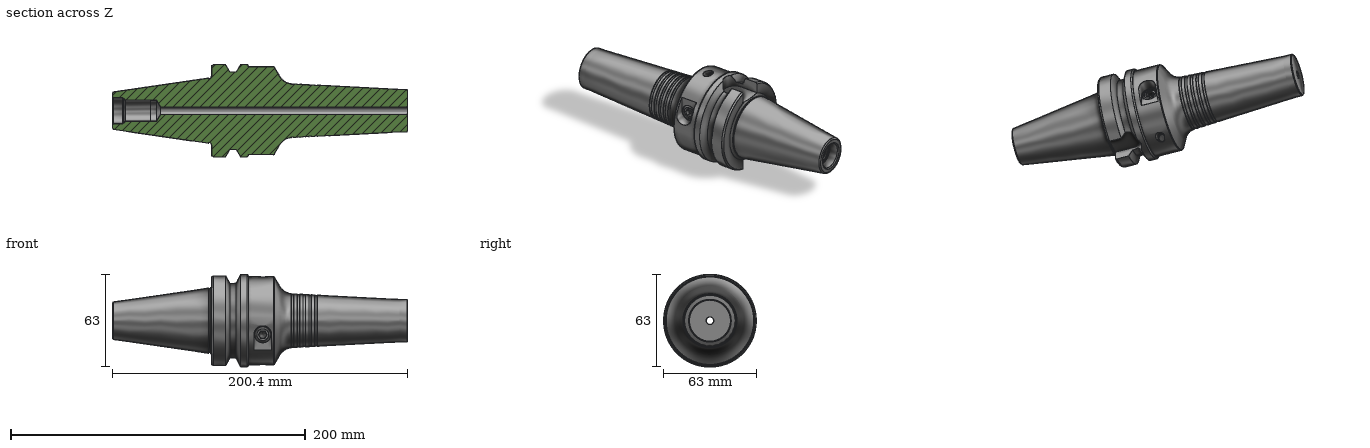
import cadquery as cq
import math


gauge_diameter = 44.45
shank_length = 65.4
taper_ratio = 7 / 24
shank_end_radius = (gauge_diameter - shank_length * taper_ratio) / 2
shank_chamfer = 0.8
undercut_radius = 43.5 / 2
undercut_end = 1.0
undercut_flare_radius = 23.7

flange_radius = 63 / 2
flange_face = 2.0
flange_face_chamfer_length = 1.2
flange_face_chamfer_height = 0.8
groove_start = 11.5
groove_floor_radius = 53 / 2
groove_half_angle = math.radians(30)
groove_floor_width = 4.3
groove_wall_run = (flange_radius - groove_floor_radius) * math.tan(groove_half_angle)
groove_floor_start = groove_start + groove_wall_run
groove_floor_end = groove_floor_start + groove_floor_width
groove_end = groove_floor_end + groove_wall_run
flange_end = 27.0

body_radius = 60 / 2
flange_rear_chamfer = 1.0
body_end = 44.5
body_edge_chamfer_length = 0.6
body_edge_chamfer_height = 0.3
shoulder_angle = math.radians(60)
shoulder_fillet = 10.0

nose_end = 135.0
nose_tip_radius = 29 / 2
nose_tip_length = 5.4
nose_tip_chamfer = 0.6
nose_angle = math.radians(3)
nose_cone_end = nose_end - nose_tip_length

clearance = 1.0

ring_count = 5
ring_first = 55.9
ring_pitch = 4.0
ring_width = 1.9
ring_depth = 0.25

slot_width = 16.1
slot_floor = 22.6
slot_end = 23.0

socket_mouth_diameter = 19.0
socket_pilot_diameter = 17.4
socket_pilot_depth = 7.0
countersink_diameter = 17.0
thread_diameter = 16.0
thread_relief_depth = 8.0
thread_core_diameter = 14.25
thread_core_depth = 26.0
drill_diameter = 14.0
drill_depth = 30.0
drill_tip_half_angle = math.radians(59)
through_diameter = 5.0

inclined_x = 36.8
inclined_height = 29.5
inclined_tilt = 45
inclined_diameter = 6.0
inclined_depth = 5.7
inclined_core_diameter = 5.0
inclined_core_depth = 7.2

pocket_x = 36.7
pocket_width = 12.0
pocket_floor = 22.6
pocket_offset = 9.5
screw_diameter = 11.0
screw_chamfer = 1.5
screw_socket_across_corners = 5.77
screw_socket_depth = 3.0
screw_socket_tip_diameter = 5.0


def nose_cone_radius(x):
    return nose_tip_radius + (nose_cone_end - x) * math.tan(nose_angle)


def revolve_about_axis(points):
    """Revolve a closed (x, radius) outline about the X axis."""
    return cq.Workplane("XY").polyline(points).close().revolve(360, (0, 0, 0), (1, 0, 0))


def both_sides(cutter):
    """Pair a cutter with its copy turned half way round the X axis."""
    return cutter.union(cutter.rotate((0, 0, 0), (1, 0, 0), 180))


def make_body():
    slope_difference = math.tan(shoulder_angle) - math.tan(nose_angle)
    shoulder_top = body_radius - body_edge_chamfer_height
    corner_x = body_end + (shoulder_top - nose_cone_radius(body_end)) / slope_difference
    corner_radius = nose_cone_radius(corner_x)
    turn = shoulder_angle - nose_angle
    tangent = shoulder_fillet * math.tan(turn / 2)
    arc_start = (
        corner_x - tangent * math.cos(shoulder_angle),
        corner_radius + tangent * math.sin(shoulder_angle),
    )
    arc_end = (corner_x + tangent * math.cos(nose_angle), corner_radius - tangent * math.sin(nose_angle))
    centre = (
        arc_end[0] + shoulder_fillet * math.sin(nose_angle),
        arc_end[1] + shoulder_fillet * math.cos(nose_angle),
    )
    mid_angle = (shoulder_angle + nose_angle) / 2
    arc_middle = (
        centre[0] - shoulder_fillet * math.sin(mid_angle),
        centre[1] - shoulder_fillet * math.cos(mid_angle),
    )
    outline = (
        cq.Workplane("XY")
        .moveTo(-shank_length, 0)
        .lineTo(-shank_length, shank_end_radius - shank_chamfer)
        .lineTo(-shank_length + shank_chamfer, shank_end_radius + shank_chamfer * taper_ratio / 2)
        .lineTo(0, gauge_diameter / 2)
        .lineTo(0, undercut_radius)
        .lineTo(undercut_end, undercut_radius)
        .lineTo(flange_face, undercut_flare_radius)
        .lineTo(flange_face, flange_radius - flange_face_chamfer_height)
        .lineTo(flange_face + flange_face_chamfer_length, flange_radius)
        .lineTo(groove_start, flange_radius)
        .lineTo(groove_floor_start, groove_floor_radius)
        .lineTo(groove_floor_end, groove_floor_radius)
        .lineTo(groove_end, flange_radius)
        .lineTo(flange_end - flange_rear_chamfer, flange_radius)
        .lineTo(flange_end, flange_radius - flange_rear_chamfer)
        .lineTo(flange_end, body_radius)
        .lineTo(body_end - body_edge_chamfer_length, body_radius)
        .lineTo(body_end, shoulder_top)
        .lineTo(*arc_start)
        .threePointArc(arc_middle, arc_end)
        .lineTo(nose_cone_end, nose_tip_radius)
        .lineTo(nose_end - nose_tip_chamfer, nose_tip_radius)
        .lineTo(nose_end, nose_tip_radius - nose_tip_chamfer)
        .lineTo(nose_end, 0)
        .close()
    )
    return outline.revolve(360, (0, 0, 0), (1, 0, 0))


def make_nose_ring(index):
    """Shallow ring groove with sloped walls."""
    start = ring_first + index * ring_pitch
    end = start + ring_width
    floor = nose_cone_radius((start + end) / 2) - ring_depth
    clear = nose_cone_radius(start) + clearance
    return revolve_about_axis(
        [
            (start, nose_cone_radius(start)),
            (start, clear),
            (end, clear),
            (end, nose_cone_radius(end)),
            (end - ring_depth, floor),
            (start + ring_depth, floor),
        ]
    )


def make_drive_slot():
    """Flat-floored slot on the +Z side, open at the flange face and round at its far end."""
    height = flange_radius - slot_floor + clearance
    arc_x = slot_end - slot_width / 2
    straight = cq.Workplane("XY", origin=(0, -slot_width / 2, slot_floor)).box(
        arc_x, slot_width, height, centered=False
    )
    round_end = cq.Workplane("XY", origin=(arc_x, 0, slot_floor)).circle(slot_width / 2).extrude(height)
    return straight.union(round_end)


def make_socket():
    def depth(value):
        return value - shank_length

    mouth_chamfer = (socket_mouth_diameter - socket_pilot_diameter) / 2
    countersink = (countersink_diameter - thread_diameter) / 2
    relief = (thread_diameter - thread_core_diameter) / 2
    tip = (drill_diameter - through_diameter) / 2 / math.tan(drill_tip_half_angle)
    return revolve_about_axis(
        [
            (depth(0), 0),
            (depth(0), socket_mouth_diameter / 2),
            (depth(mouth_chamfer), socket_pilot_diameter / 2),
            (depth(socket_pilot_depth), socket_pilot_diameter / 2),
            (depth(socket_pilot_depth), countersink_diameter / 2),
            (depth(socket_pilot_depth + countersink), thread_diameter / 2),
            (depth(thread_relief_depth), thread_diameter / 2),
            (depth(thread_relief_depth + relief), thread_core_diameter / 2),
            (depth(thread_core_depth), thread_core_diameter / 2),
            (depth(thread_core_depth), drill_diameter / 2),
            (depth(drill_depth), drill_diameter / 2),
            (depth(drill_depth + tip), through_diameter / 2),
            (nose_end, through_diameter / 2),
            (nose_end, 0),
        ]
    )


def make_inclined_hole():
    """Stepped blind hole that enters the top of the body and leans toward -Y as it goes down."""
    hole = cq.Workplane("XY").circle(inclined_diameter / 2).extrude(-inclined_depth)
    mouth = cq.Workplane("XY").circle(inclined_diameter / 2).extrude(inclined_diameter)
    core = cq.Workplane("XY").circle(inclined_core_diameter / 2).extrude(-inclined_core_depth)
    cutter = hole.union(mouth).union(core)
    return cutter.rotate((0, 0, 0), (1, 0, 0), -inclined_tilt).translate((inclined_x, 0, inclined_height))


def make_pocket():
    """Flat pocket on the -Y side, round toward the axis and open toward -Z, with its screw recesses."""
    reach = body_radius - pocket_floor + clearance
    floor_plane = cq.Workplane("XZ", origin=(pocket_x, -pocket_floor, -pocket_offset))
    round_end = floor_plane.circle(pocket_width / 2).extrude(reach)
    open_end = floor_plane.center(0, -body_radius / 2).rect(pocket_width, body_radius).extrude(reach)
    gap = floor_plane.circle(screw_diameter / 2).extrude(-screw_chamfer)
    screw_end = (
        cq.Workplane("XZ", origin=(pocket_x, -pocket_floor + screw_chamfer, -pocket_offset))
        .circle(screw_diameter / 2)
        .workplane(offset=screw_chamfer)
        .circle(screw_diameter / 2 - screw_chamfer)
        .loft()
    )
    hexagon = floor_plane.polygon(6, screw_socket_across_corners).extrude(-screw_socket_depth)
    tip = cq.Workplane(
        cq.Solid.makeCone(
            screw_socket_tip_diameter / 2,
            0,
            screw_socket_tip_diameter / 2 / math.tan(drill_tip_half_angle),
            cq.Vector(pocket_x, -pocket_floor + screw_socket_depth, -pocket_offset),
            cq.Vector(0, 1, 0),
        )
    )
    return round_end.union(open_end).union(gap.cut(screw_end)).union(hexagon).union(tip)


result = make_body()
for ring in range(ring_count):
    result = result.cut(make_nose_ring(ring))
result = result.cut(both_sides(make_drive_slot()))
result = result.cut(make_socket())
result = result.cut(both_sides(make_inclined_hole()))
result = result.cut(both_sides(make_pocket()))